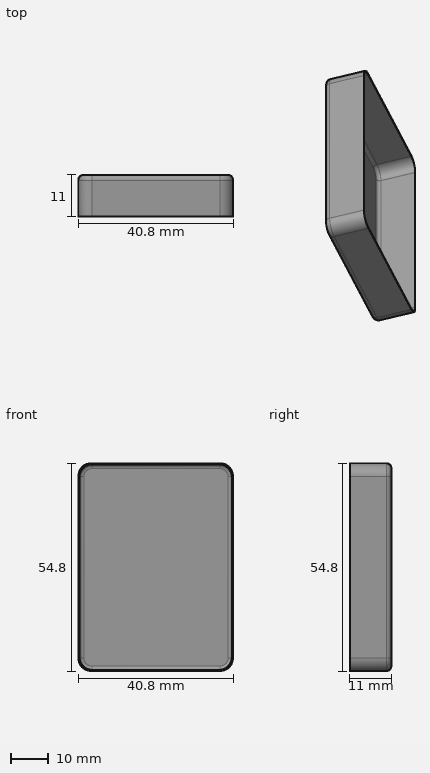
import cadquery as cq

cavity_width = 40.0
cavity_height = 54.0
cavity_corner_radius = 3.1
cavity_floor_fillet = 1.0

wall = 0.4
outer_depth = 11.0

outer_width = cavity_width + 2 * wall
outer_height = cavity_height + 2 * wall
outer_corner_radius = cavity_corner_radius + wall
outer_back_fillet = cavity_floor_fillet + wall
cavity_depth = outer_depth - wall


def rounded_block(width, height, depth, corner_radius, back_fillet):
    """Block from Y = 0 to Y = depth with rounded corners and a rounded back edge."""
    block = cq.Workplane("XY").box(width, depth, height, centered=(True, False, True))
    block = block.edges("|Y").fillet(corner_radius)
    return block.faces(">Y").edges().fillet(back_fillet)


shell = rounded_block(outer_width, outer_height, outer_depth, outer_corner_radius, outer_back_fillet)
cavity = rounded_block(cavity_width, cavity_height, cavity_depth, cavity_corner_radius, cavity_floor_fillet)

result = shell.cut(cavity)